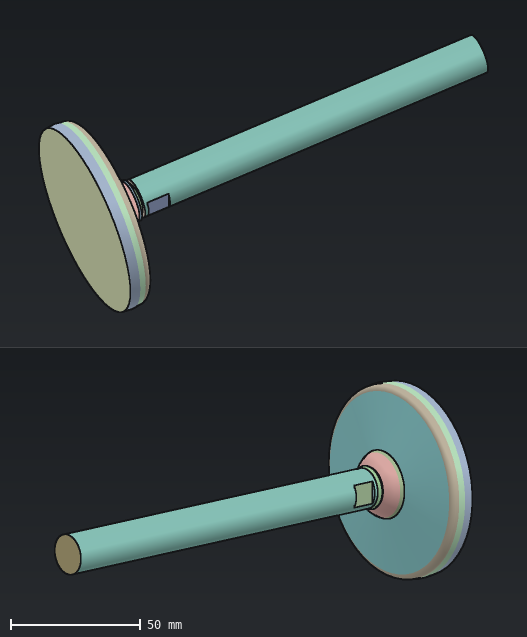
import cadquery as cq

total_length = 172.0
foot_diameter = 78.0
stud_diameter = 16.0

bottom_radius = 38.5
widest_height = 4.1
shoulder_start_radius = 38.5
shoulder_start_height = 6.7
shoulder_end_radius = 36.1
shoulder_end_height = 9.8
shoulder_mid_radius = 38.0
shoulder_mid_height = 8.8
plate_top_radius = 13.6
plate_top_height = 13.6

dome_start_radius = 12.9
dome_start_height = 15.1
dome_mid_radius = 11.0
dome_mid_height = 17.7
dome_top_radius = 8.0
dome_top_height = 19.8

collar_radius = 8.6
collar_edge_height = 20.6
neck_radius = 5.8
shaft_start_height = 22.4

flat_spacing = 13.2
flat_start_height = 23.9
flat_length = 9.3

foot_radius = foot_diameter / 2
stud_radius = stud_diameter / 2
bottom_y = -total_length / 2


def revolve_about_y(profile):
    return profile.close().revolve(360, (0, 0, 0), (0, 1, 0))


def profile_start():
    """Sketch in the XY plane with its origin at the centre of the foot bottom."""
    return cq.Workplane("XY", origin=(0, bottom_y, 0))


def make_foot():
    """Round foot plate with a shallow conical top and a domed hub."""
    return revolve_about_y(
        profile_start()
        .lineTo(bottom_radius, 0)
        .lineTo(foot_radius, widest_height)
        .lineTo(shoulder_start_radius, shoulder_start_height)
        .threePointArc(
            (shoulder_mid_radius, shoulder_mid_height),
            (shoulder_end_radius, shoulder_end_height),
        )
        .lineTo(plate_top_radius, plate_top_height)
        .lineTo(dome_start_radius, dome_start_height)
        .threePointArc(
            (dome_mid_radius, dome_mid_height),
            (dome_top_radius, dome_top_height),
        )
        .lineTo(0, dome_top_height)
    )


def make_wrench_flat_cutter(side):
    """Block that leaves one wrench flat; side is -1 or +1 along X."""
    depth = stud_radius - flat_spacing / 2
    return cq.Workplane("XY").box(depth, flat_length, stud_diameter).translate((
        side * (flat_spacing + depth) / 2,
        bottom_y + flat_start_height + flat_length / 2,
        0,
    ))


def make_stud():
    """Round shaft with wrench flats, standing on a flared collar."""
    stud = revolve_about_y(
        profile_start()
        .moveTo(0, dome_top_height)
        .lineTo(dome_top_radius, dome_top_height)
        .lineTo(collar_radius, collar_edge_height)
        .lineTo(neck_radius, shaft_start_height)
        .lineTo(stud_radius, shaft_start_height)
        .lineTo(stud_radius, total_length)
        .lineTo(0, total_length)
    )
    for side in (-1, 1):
        stud = stud.cut(make_wrench_flat_cutter(side))
    return stud


foot = make_foot()
stud = make_stud()
result = cq.Compound.makeCompound([foot.val(), stud.val()])